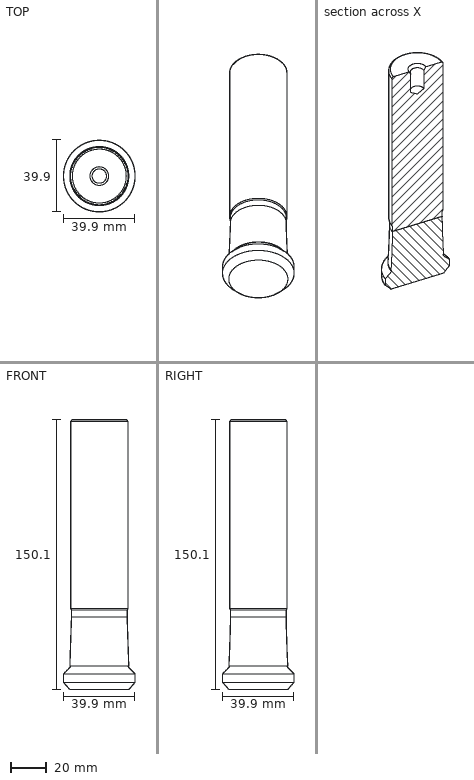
import cadquery as cq
import math

total_length = 150.1
rim_bottom = 4.0
taper_bottom = 13.2
joint_level = 40.4
shank_bottom = 45.0

shank_radius = 32.0 / 2
neck_radius = 31.0 / 2
top_chamfer = 1.0
neck_bevel_height = 0.8

head_radius = 39.9 / 2
head_foot_radius = 32.9 / 2
taper_bottom_radius = 32.9 / 2
undercut_radius = 32.3 / 2
head_fillet_radius = 1.5
bevel_angle = math.radians(45)

hole_radius = 8.0 / 2
hole_mouth_radius = 10.4 / 2
countersink_half_angle = 30.0
hole_depth = 15.0
drill_half_angle = 59.0


def revolve_about_z(profile):
    """Turn a closed XZ profile about the Z axis."""
    return profile.close().revolve(360, (0, 0, 0), (0, 1, 0))


def make_centre_hole():
    """Countersunk blind hole with a conical drill end."""
    countersink_depth = (hole_mouth_radius - hole_radius) / math.tan(math.radians(countersink_half_angle))
    drill_tip_height = hole_radius / math.tan(math.radians(drill_half_angle))
    hole_bottom = total_length - hole_depth
    return revolve_about_z(
        cq.Workplane("XZ")
        .moveTo(0, hole_bottom - drill_tip_height)
        .lineTo(hole_radius, hole_bottom)
        .lineTo(hole_radius, total_length - countersink_depth)
        .lineTo(hole_mouth_radius, total_length)
        .lineTo(0, total_length)
    )


def make_post():
    """Straight shank with a chamfered top, a relieved neck and a centre hole."""
    blank = revolve_about_z(
        cq.Workplane("XZ")
        .moveTo(0, joint_level)
        .lineTo(neck_radius, joint_level)
        .lineTo(neck_radius, shank_bottom - neck_bevel_height)
        .lineTo(shank_radius, shank_bottom)
        .lineTo(shank_radius, total_length - top_chamfer)
        .lineTo(shank_radius - top_chamfer, total_length)
        .lineTo(0, total_length)
    )
    return blank.cut(make_centre_hole())


def make_base():
    """Tapered seat above a head that is bevelled on both sides of its rim."""
    fillet_height = head_fillet_radius * math.sin(bevel_angle)
    fillet_width = head_fillet_radius * (1 - math.cos(bevel_angle))
    fillet_foot_radius = undercut_radius + fillet_width
    fillet_foot_level = taper_bottom - fillet_height
    rim_top = fillet_foot_level - (head_radius - fillet_foot_radius) * math.tan(bevel_angle)
    return revolve_about_z(
        cq.Workplane("XZ")
        .lineTo(head_foot_radius, 0)
        .lineTo(head_radius, rim_bottom)
        .lineTo(head_radius, rim_top)
        .lineTo(fillet_foot_radius, fillet_foot_level)
        .tangentArcPoint((undercut_radius, taper_bottom), relative=False)
        .lineTo(taper_bottom_radius, taper_bottom)
        .lineTo(neck_radius, joint_level)
        .lineTo(0, joint_level)
    )


post = make_post()
base = make_base()
result = cq.Compound.makeCompound([post.val(), base.val()])